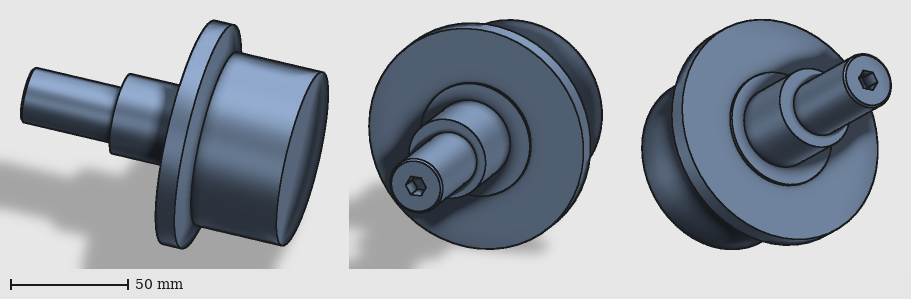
import cadquery as cq
import math

shaft_end = 41.0
eccentric_end = 70.0
washer_end = 71.5
rim_end = 79.9
taper_end = 83.9
total_length = 122.0

shaft_diameter = 24.0
eccentric_diameter = 35.0
washer_diameter = 50.0
flange_diameter = 98.0
tread_diameter = 76.0

eccentric_offset = 1.5
shaft_chamfer = 0.9

socket_across_flats = 8.0
socket_depth = 8.0
floor_cone_angle = 120.0


def cylinder(diameter, start, end, y_center=0.0):
    """Cylinder along X between two stations."""
    return (
        cq.Workplane("YZ", origin=(start, y_center, 0))
        .circle(diameter / 2)
        .extrude(end - start)
    )


def roller():
    """Flange rim, conical shoulder and tread revolved about X."""
    flange_radius = flange_diameter / 2
    tread_radius = tread_diameter / 2
    return (
        cq.Workplane("XY")
        .moveTo(washer_end, 0)
        .lineTo(washer_end, flange_radius)
        .lineTo(rim_end, flange_radius)
        .lineTo(taper_end, tread_radius)
        .lineTo(total_length, tread_radius)
        .lineTo(total_length, 0)
        .close()
        .revolve(360, (0, 0, 0), (1, 0, 0))
    )


def hex_socket():
    """Hexagon with corners on the Y axis, ending in a cone."""
    across_corners = socket_across_flats / math.cos(math.radians(30))
    cone_radius = across_corners / 2
    cone_height = cone_radius / math.tan(math.radians(floor_cone_angle / 2))
    hexagon = cq.Workplane("YZ").polygon(6, across_corners).extrude(socket_depth + cone_height)
    pointed_bore = (
        cq.Workplane("XY")
        .lineTo(0, cone_radius)
        .lineTo(socket_depth, cone_radius)
        .lineTo(socket_depth + cone_height, 0)
        .close()
        .revolve(360, (0, 0, 0), (1, 0, 0))
    )
    return hexagon.intersect(pointed_bore)


shaft = cylinder(shaft_diameter, 0, shaft_end).faces("<X").chamfer(shaft_chamfer)
eccentric = cylinder(eccentric_diameter, shaft_end, eccentric_end, eccentric_offset)
washer = cylinder(washer_diameter, eccentric_end, washer_end)

result = shaft.union(eccentric).union(washer).union(roller()).cut(hex_socket())